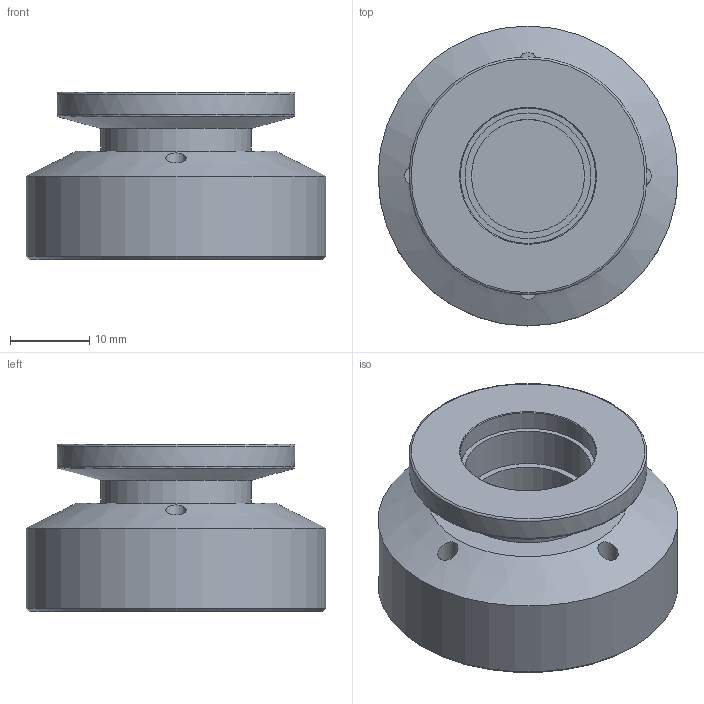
import cadquery as cq

base_diameter = 37.85
total_height = 21.12
base_side_height = 10.55
base_edge_chamfer = 0.4
shoulder_height = 13.7
shoulder_diameter = 25.1

neck_diameter = 19.05
flange_diameter = 30.0
flange_edge_fillet = 0.25
flange_thickness = 3.05
flange_cone_height = 1.5

mouth_diameter = 17.1
mouth_depth = 2.5
mouth_chamfer = 0.1
middle_diameter = 15.88
middle_depth = 7.5
inner_diameter = 14.28
floor_thickness = 5.0

hole_count = 4
hole_diameter = 2.55
hole_circle_diameter = 28.58
hole_floor_height = floor_thickness


def make_body():
    """Revolve the outer profile about the Z axis and round the flange rims."""
    base_radius = base_diameter / 2
    neck_radius = neck_diameter / 2
    flange_radius = flange_diameter / 2
    flange_bottom = total_height - flange_thickness
    profile = [
        (0, 0),
        (base_radius - base_edge_chamfer, 0),
        (base_radius, base_edge_chamfer),
        (base_radius, base_side_height),
        (shoulder_diameter / 2, shoulder_height),
        (neck_radius, shoulder_height),
        (neck_radius, flange_bottom - flange_cone_height),
        (flange_radius, flange_bottom),
        (flange_radius, total_height),
        (0, total_height),
    ]
    body = cq.Workplane("XZ").polyline(profile).close().revolve(360, (0, 0), (0, 1))
    for rim_height in (flange_bottom, total_height):
        rim = cq.selectors.NearestToPointSelector((0, 0, rim_height))
        body = body.edges("%CIRCLE").edges(rim).fillet(flange_edge_fillet)
    return body


def cut_bore(body):
    """Cut the three bore steps from the flange face, then break the mouth edge."""
    steps = [
        (mouth_diameter, mouth_depth),
        (middle_diameter, middle_depth),
        (inner_diameter, total_height - floor_thickness),
    ]
    for diameter, depth in steps:
        step = cq.Workplane("XY", origin=(0, 0, total_height)).circle(diameter / 2).extrude(-depth)
        body = body.cut(step)
    mouth_edge = cq.selectors.RadiusNthSelector(0)
    return body.faces(">Z").edges(mouth_edge).chamfer(mouth_chamfer)


def cut_shoulder_holes(body):
    """Cut the vertical holes that open on the conical shoulder."""
    holes = (
        cq.Workplane("XY", origin=(0, 0, hole_floor_height))
        .polarArray(hole_circle_diameter / 2, 0, 360, hole_count)
        .circle(hole_diameter / 2)
        .extrude(shoulder_height - hole_floor_height)
    )
    return body.cut(holes)


result = cut_shoulder_holes(cut_bore(make_body()))